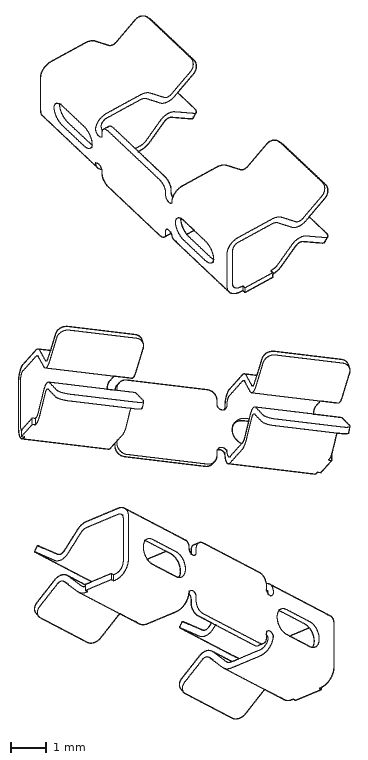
import cadquery as cq
import math


length = 8.99
depth = 3.75
height = 2.28
sheet = 0.2
half_height = height / 2

upper_back_radius = 0.4
lower_back_radius = 0.5
shoulder_radius = 0.5
throat_radius = 0.4

shoulder_y = 1.6
throat_y = 2.6
throat_half_gap = 0.24
flare_angle = math.radians(35.8)
tip_corner_radius = 0.3

tab_projection = 0.1
tab_start_y = 0.57
tab_length = 1.0

relief_width = 0.3
relief_half_gap = 0.575
pad_length = 3.0
pad_corner_radius = 0.3
slot_length = 1.8
slot_height = 0.8
slot_x = 2.86

clip_outer_x = length / 2 - tab_projection
clip_inner_x = pad_length / 2 + relief_width
clip_width = clip_outer_x - clip_inner_x


def polar(center, radius, angle):
    """Point on a circle, with the angle measured from +Z towards +Y."""
    return (center[0] + radius * math.sin(angle), center[1] + radius * math.cos(angle))


def arm(back_radius, side):
    """Half of a clip, from the mid-plane to the jaw tip; side is 1 for upper, -1 for lower."""
    back = (back_radius, half_height - back_radius)
    shoulder = (shoulder_y, half_height - shoulder_radius)
    throat = (throat_y, throat_half_gap + throat_radius)
    throat_inner_radius = throat_radius - sheet

    run = throat[0] - shoulder[0]
    drop = shoulder[1] - throat[1]
    reach = shoulder_radius + throat_inner_radius
    web_angle = math.atan2(drop, run) + math.asin(reach / math.hypot(run, drop))

    web_end = math.pi + web_angle
    flare_start = math.pi - flare_angle
    flare_outer = polar(throat, throat_radius, flare_start)
    flare_length = (depth - flare_outer[0]) / math.cos(flare_angle)
    tip_low = (depth, flare_outer[1] + flare_length * math.sin(flare_angle))
    tip_high = polar(tip_low, sheet, -flare_angle)

    def place(point):
        return (point[0], side * point[1])

    def bend(outline, center, radius, start, end):
        middle = polar(center, radius, (start + end) / 2)
        finish = polar(center, radius, end)
        return outline.lineTo(*place(polar(center, radius, start))).threePointArc(place(middle), place(finish))

    outline = cq.Workplane("YZ").moveTo(0, 0)
    outline = bend(outline, back, back_radius, -math.pi / 2, 0)
    outline = bend(outline, shoulder, shoulder_radius, 0, web_angle)
    outline = bend(outline, throat, throat_inner_radius, web_end, flare_start)
    outline = outline.lineTo(*place(tip_high)).lineTo(*place(tip_low))
    outline = bend(outline, throat, throat_radius, flare_start, web_end)
    outline = bend(outline, shoulder, shoulder_radius - sheet, web_angle, 0)
    outline = bend(outline, back, back_radius - sheet, 0, -math.pi / 2)
    body = outline.lineTo(sheet, 0).close().extrude(clip_width)

    tip_y = (tip_low[0] + tip_high[0]) / 2
    tip_z = side * (tip_low[1] + tip_high[1]) / 2
    for corner_x in (0, clip_width):
        corner = cq.selectors.NearestToPointSelector((corner_x, tip_y, tip_z))
        body = body.edges(corner).fillet(tip_corner_radius)
    return body.translate((clip_inner_x, 0, 0))


def side_tab():
    return cq.Workplane("XY").box(
        tab_projection, tab_length, sheet, centered=False
    ).translate((clip_outer_x, tab_start_y, -half_height))


def back_plate(width, plate_height):
    """Sheet-thick plate on the back plane, centred on the origin in X and Z."""
    return cq.Workplane("XY").box(width, sheet, plate_height, centered=(True, False, True))


def centre_strip():
    """Pad with rounded corners and the necks that join it to the clips."""
    pad = back_plate(pad_length, height).edges("|Y").fillet(pad_corner_radius)
    relief_radius = relief_width / 2
    relief_x = (pad_length + relief_width) / 2
    neck_half_height = relief_half_gap + relief_radius
    strip = pad.union(back_plate(2 * clip_inner_x, 2 * neck_half_height))
    relief_centres = [(x, z) for x in (-relief_x, relief_x) for z in (-neck_half_height, neck_half_height)]
    reliefs = (
        cq.Workplane("XZ")
        .pushPoints(relief_centres)
        .circle(relief_radius)
        .extrude(-sheet)
    )
    return strip.cut(reliefs)


def back_slot():
    return (
        cq.Workplane("XZ")
        .center(slot_x, 0)
        .slot2D(slot_length, slot_height)
        .extrude(-sheet)
    )


clip = arm(upper_back_radius, 1).union(arm(lower_back_radius, -1)).union(side_tab()).cut(back_slot())
result = centre_strip().union(clip).union(clip.mirror("YZ")).clean()